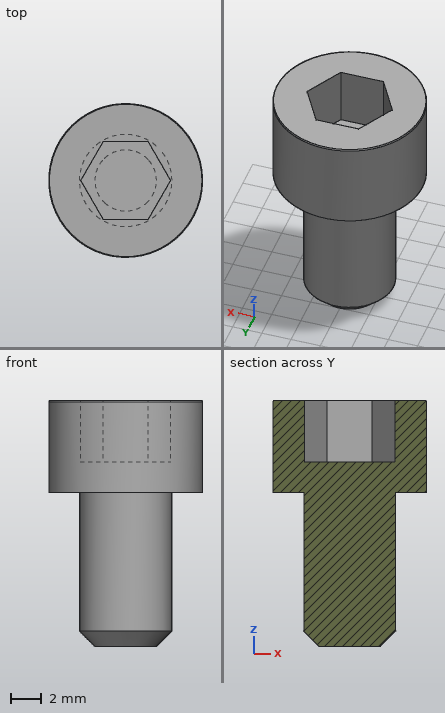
import cadquery as cq
import math

total_length = 16.0
head_diameter = 10.0
head_height = 6.0
shank_diameter = 6.0

head_edge_height = 0.1
head_edge_inset = 0.05
tip_chamfer = 1.0

socket_across_flats = 5.05
socket_depth = 4.0

shank_length = total_length - head_height


def make_shank():
    """Cylindrical shank with its tip at Z = 0."""
    shank = cq.Workplane("XY").circle(shank_diameter / 2).extrude(shank_length)
    return shank.faces("<Z").chamfer(tip_chamfer)


def make_head():
    """Cylindrical head with a slightly broken top edge."""
    head = cq.Workplane("XY").workplane(offset=shank_length)
    head = head.circle(head_diameter / 2).extrude(head_height)
    return head.faces(">Z").chamfer(head_edge_height, head_edge_inset)


def make_socket():
    """Hexagonal prism with two corners on the X axis."""
    across_corners = socket_across_flats / math.cos(math.pi / 6)
    socket = cq.Workplane("XY").workplane(offset=total_length)
    return socket.polygon(6, across_corners).extrude(-socket_depth)


result = make_shank().union(make_head()).cut(make_socket())